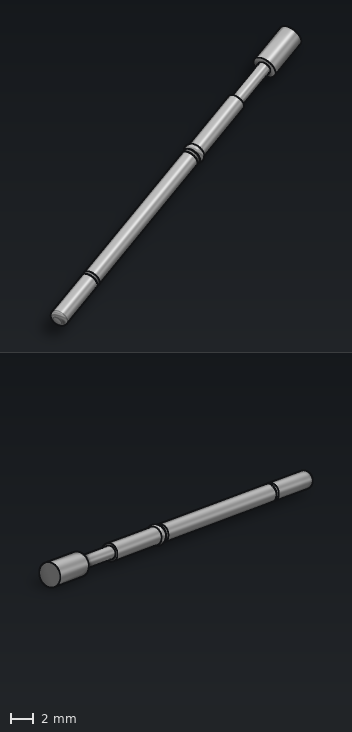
import cadquery as cq

total_length = 37.8

head_diameter = 2.3
head_length = 4.2
plunger_diameter = 1.25
plunger_length = 4.6

barrel_diameter = 1.7
tail_round = 0.4

ring_diameter = 1.95
ring_width = 0.65
ring_from_mouth = 6.8

groove_width = 0.35
groove_depth = 0.15
front_groove_from_tail = 21.65
rear_groove_from_tail = 5.45

tail_y = -total_length / 2
head_y = total_length / 2
plunger_y = head_y - head_length
barrel_mouth_y = plunger_y - plunger_length
barrel_length = barrel_mouth_y - tail_y
barrel_radius = barrel_diameter / 2


def cylinder(diameter, start_y, length):
    """Solid cylinder about the Y axis, running from start_y towards +Y."""
    return cq.Workplane("XZ", origin=(0, start_y, 0)).circle(diameter / 2).extrude(-length)


def rounded_barrel():
    """Plain barrel with a rounded tail end."""
    barrel = cylinder(barrel_diameter, tail_y, barrel_length)
    return barrel.faces("<Y").edges().fillet(tail_round)


def stop_ring():
    """Ring whose outer surface bulges from the barrel diameter to the ring diameter."""
    center_y = barrel_mouth_y - ring_from_mouth
    front_y = center_y + ring_width / 2
    back_y = center_y - ring_width / 2
    return (
        cq.Workplane("XY")
        .moveTo(0, front_y)
        .lineTo(barrel_radius, front_y)
        .threePointArc((ring_diameter / 2, center_y), (barrel_radius, back_y))
        .lineTo(0, back_y)
        .close()
        .revolve(360, (0, 0, 0), (0, 1, 0))
    )


def groove(distance_from_tail):
    """Ring-shaped cutter with a round-bottomed section, for one groove in the barrel surface."""
    center_y = tail_y + distance_from_tail
    floor_radius = barrel_radius - groove_depth
    return (
        cq.Workplane("XY")
        .moveTo(barrel_radius, center_y + groove_width / 2)
        .threePointArc((floor_radius, center_y), (barrel_radius, center_y - groove_width / 2))
        .close()
        .revolve(360, (0, 0, 0), (0, 1, 0))
    )


head = cylinder(head_diameter, plunger_y, head_length)
plunger = cylinder(plunger_diameter, barrel_mouth_y, plunger_length)

result = rounded_barrel().union(stop_ring()).union(plunger).union(head)
for distance in (front_groove_from_tail, rear_groove_from_tail):
    result = result.cut(groove(distance))